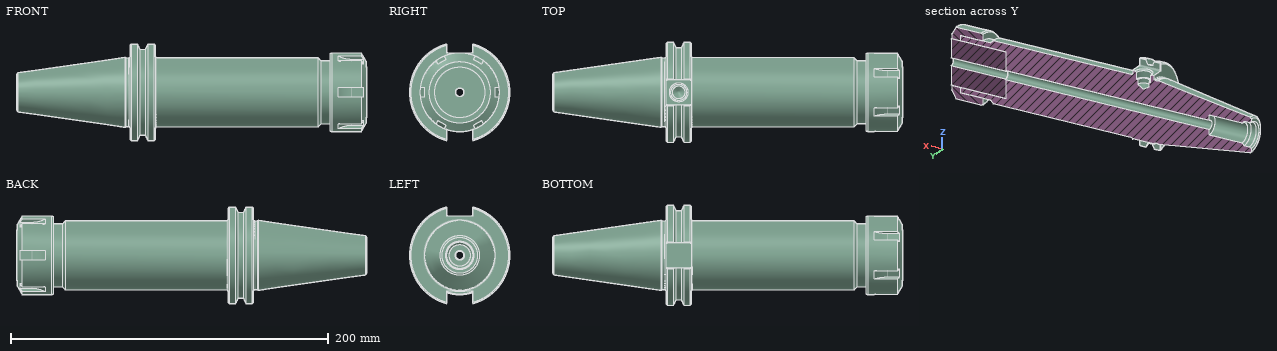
import cadquery as cq
import math


OVERALL_LENGTH = 220.8
TAPER_LENGTH = 68.5
HOLDER_REAR = -TAPER_LENGTH
COLLET_PROTRUSION = 0.33
COLLET_FRONT = HOLDER_REAR + OVERALL_LENGTH
NUT_FRONT = COLLET_FRONT - COLLET_PROTRUSION
FLANGE_REAR = 3.0
FLANGE_FRONT = 19.0
GROOVE_CENTER = 11.0
BODY_FRONT = 121.5
NUT_REAR = 129.0
NUT_SHOULDER = 148.8
NOSE_FRONT = 145.7

TAPER_SMALL_DIAMETER = 25.0
TAPER_REAR_DIAMETER = 22.5
TAPER_REAR_CHAMFER_LENGTH = 0.9
TAPER_LARGE_DIAMETER = 44.4
TAPER_EDGE_CHAMFER = 0.7
COLLAR_DIAMETER = 43.5
BODY_DIAMETER = 44.0
NOSE_DIAMETER = 40.0
FLANGE_DIAMETER = 63.4
FLANGE_CHAMFER = 0.9
GROOVE_FLOOR_DIAMETER = 56.5
GROOVE_FLOOR_WIDTH = 3.3
GROOVE_MOUTH_WIDTH = 6.6
FLANGE_ROOT_FILLET = 0.9

SLOT_WIDTH = 16.1
SLOT_EDGE_CHAMFER = 0.5
SLOT_FLOOR_FILLET = 0.55
UPPER_SLOT_FLOOR = 25.0
LOWER_SLOT_FLOOR = 22.5

POCKET_DIAMETER = 10.2
POCKET_MOUTH_DIAMETER = 12.0
POCKET_DEPTH = 5.5
POCKET_DRILL_DIAMETER = 8.0
POCKET_DRILL_DEPTH = 8.8
DRILL_POINT_ANGLE = 118.0

COOLANT_DIAMETER = 6.0
PULL_STUD_MOUTH_DIAMETER = 17.9
PULL_STUD_MOUTH_LENGTH = 1.5
PULL_STUD_COUNTERBORE_DIAMETER = 16.5
PULL_STUD_COUNTERBORE_DEPTH = 5.3
PULL_STUD_BORE_DIAMETER = 13.5
PULL_STUD_BORE_DEPTH = 31.0

NUT_DIAMETER = 50.0
NUT_REAR_DIAMETER = 48.8
NUT_REAR_CHAMFER_LENGTH = 1.3
NUT_FACE_DIAMETER = 38.6
COLLET_DIAMETER = 31.8
COLLET_LENGTH = 40.0
COLLET_BORE_DIAMETER = 5.0
SPANNER_SLOTS = 6
SPANNER_SLOT_WIDTH = 6.0
SPANNER_SLOT_FLOOR = 22.3
SPANNER_SLOT_REAR = 134.0
SPANNER_SLOT_STEP = 142.6


def revolved(points):
    """Solid of revolution about X from (x, diameter) points, closed along the axis."""
    outline = [(x, diameter / 2) for x, diameter in points]
    outline = [(outline[0][0], 0)] + outline + [(outline[-1][0], 0)]
    return cq.Workplane("XY").polyline(outline).close().revolve(360, (0, 0, 0), (1, 0, 0))


def axial_cylinder(diameter, start, end):
    return revolved([(start, diameter), (end, diameter)])


def holder_blank():
    floor_half = GROOVE_FLOOR_WIDTH / 2
    mouth_half = GROOVE_MOUTH_WIDTH / 2
    flange_edge_diameter = FLANGE_DIAMETER - 2 * FLANGE_CHAMFER
    nose_chamfer = (BODY_DIAMETER - NOSE_DIAMETER) / 2
    return revolved([
        (HOLDER_REAR, TAPER_REAR_DIAMETER),
        (HOLDER_REAR + TAPER_REAR_CHAMFER_LENGTH, TAPER_SMALL_DIAMETER),
        (0, TAPER_LARGE_DIAMETER),
        (TAPER_EDGE_CHAMFER, COLLAR_DIAMETER),
        (FLANGE_REAR, COLLAR_DIAMETER),
        (FLANGE_REAR, flange_edge_diameter),
        (FLANGE_REAR + FLANGE_CHAMFER, FLANGE_DIAMETER),
        (GROOVE_CENTER - mouth_half, FLANGE_DIAMETER),
        (GROOVE_CENTER - floor_half, GROOVE_FLOOR_DIAMETER),
        (GROOVE_CENTER + floor_half, GROOVE_FLOOR_DIAMETER),
        (GROOVE_CENTER + mouth_half, FLANGE_DIAMETER),
        (FLANGE_FRONT - FLANGE_CHAMFER, FLANGE_DIAMETER),
        (FLANGE_FRONT, flange_edge_diameter),
        (FLANGE_FRONT, BODY_DIAMETER),
        (BODY_FRONT, BODY_DIAMETER),
        (BODY_FRONT + nose_chamfer, NOSE_DIAMETER),
        (NOSE_FRONT, NOSE_DIAMETER),
    ])


def fillet_flange_root(blank, face_x):
    """Round the inner corner at a flange face; it is the smallest circle in that plane."""
    return (
        blank
        .faces(cq.selectors.NearestToPointSelector((face_x, 0, 0)))
        .edges(cq.selectors.RadiusNthSelector(0))
        .fillet(FLANGE_ROOT_FILLET)
    )


def drive_slot(floor_height):
    """Cutter for a slot across the top of the flange, with bevelled edges."""
    flange_radius = FLANGE_DIAMETER / 2
    width = FLANGE_FRONT - FLANGE_REAR
    half = SLOT_WIDTH / 2
    slot = (
        cq.Workplane("XY", origin=((FLANGE_REAR + FLANGE_FRONT) / 2, 0, floor_height))
        .rect(width, SLOT_WIDTH)
        .extrude(flange_radius)
        .edges("|X and <Z")
        .fillet(SLOT_FLOOR_FILLET)
    )

    bevel_outer_half = half + SLOT_EDGE_CHAMFER
    bevel_top = math.sqrt(flange_radius**2 - bevel_outer_half**2)
    bevel_bottom = bevel_top - SLOT_EDGE_CHAMFER
    rise = flange_radius - bevel_bottom
    mouth = (
        cq.Workplane("YZ", origin=(FLANGE_REAR, 0, 0))
        .polyline([
            (-half, bevel_bottom),
            (half, bevel_bottom),
            (half + rise, flange_radius),
            (-half - rise, flange_radius),
        ])
        .close()
        .extrude(width)
    )
    slot = slot.union(mouth)

    for face_x, inward in ((FLANGE_REAR, SLOT_EDGE_CHAMFER), (FLANGE_FRONT, -SLOT_EDGE_CHAMFER)):
        bevel = (
            cq.Workplane("XY", origin=(face_x, 0, floor_height))
            .polyline([
                (0, -bevel_outer_half),
                (0, bevel_outer_half),
                (inward, half),
                (inward, -half),
            ])
            .close()
            .extrude(flange_radius)
        )
        slot = slot.union(bevel)
    return slot


def slot_pocket():
    """Cutter for the chamfered, stepped pocket with a drill-point bottom."""
    mouth = UPPER_SLOT_FLOOR
    chamfer = (POCKET_MOUTH_DIAMETER - POCKET_DIAMETER) / 2
    point = POCKET_DRILL_DIAMETER / 2 / math.tan(math.radians(DRILL_POINT_ANGLE / 2))
    return (
        cq.Workplane("XZ", origin=(GROOVE_CENTER, 0, 0))
        .polyline([
            (0, mouth),
            (POCKET_MOUTH_DIAMETER / 2, mouth),
            (POCKET_DIAMETER / 2, mouth - chamfer),
            (POCKET_DIAMETER / 2, mouth - POCKET_DEPTH),
            (POCKET_DRILL_DIAMETER / 2, mouth - POCKET_DEPTH),
            (POCKET_DRILL_DIAMETER / 2, mouth - POCKET_DRILL_DEPTH),
            (0, mouth - POCKET_DRILL_DEPTH - point),
        ])
        .close()
        .revolve(360, (0, 0, 0), (0, 1, 0))
    )


def pull_stud_bore():
    step = (PULL_STUD_COUNTERBORE_DIAMETER - PULL_STUD_BORE_DIAMETER) / 2
    counterbore_end = HOLDER_REAR + PULL_STUD_COUNTERBORE_DEPTH
    return revolved([
        (HOLDER_REAR, PULL_STUD_MOUTH_DIAMETER),
        (HOLDER_REAR + PULL_STUD_MOUTH_LENGTH, PULL_STUD_COUNTERBORE_DIAMETER),
        (counterbore_end, PULL_STUD_COUNTERBORE_DIAMETER),
        (counterbore_end + step, PULL_STUD_BORE_DIAMETER),
        (HOLDER_REAR + PULL_STUD_BORE_DEPTH, PULL_STUD_BORE_DIAMETER),
    ])


def make_holder():
    blank = holder_blank()
    for face_x in (FLANGE_REAR, FLANGE_FRONT):
        blank = fillet_flange_root(blank, face_x)
    lower_slot = drive_slot(LOWER_SLOT_FLOOR).rotate((0, 0, 0), (1, 0, 0), 180)
    return (
        blank
        .cut(drive_slot(UPPER_SLOT_FLOOR))
        .cut(lower_slot)
        .cut(slot_pocket())
        .cut(pull_stud_bore())
        .cut(axial_cylinder(COOLANT_DIAMETER, HOLDER_REAR, NOSE_FRONT))
        .cut(axial_cylinder(COLLET_DIAMETER, COLLET_FRONT - COLLET_LENGTH, NOSE_FRONT))
    )


def spanner_slot():
    """Cutter for the slot on the -Y side: a flat floor with a round run-out at its rear."""
    surface = NUT_DIAMETER / 2
    run_out = SPANNER_SLOT_STEP - SPANNER_SLOT_REAR
    depth = surface - SPANNER_SLOT_FLOOR
    cutter_radius = (run_out**2 + depth**2) / (2 * depth)
    half_angle = math.asin(run_out / cutter_radius) / 2
    arc_middle = (
        SPANNER_SLOT_STEP - cutter_radius * math.sin(half_angle),
        -SPANNER_SLOT_FLOOR - cutter_radius * (1 - math.cos(half_angle)),
    )
    return (
        cq.Workplane("XY", origin=(0, 0, -SPANNER_SLOT_WIDTH / 2))
        .moveTo(SPANNER_SLOT_REAR, -surface)
        .threePointArc(arc_middle, (SPANNER_SLOT_STEP, -SPANNER_SLOT_FLOOR))
        .lineTo(NUT_FRONT, -SPANNER_SLOT_FLOOR)
        .lineTo(NUT_FRONT, -surface)
        .close()
        .extrude(SPANNER_SLOT_WIDTH)
    )


def make_nut():
    nut = revolved([
        (NUT_REAR, NUT_REAR_DIAMETER),
        (NUT_REAR + NUT_REAR_CHAMFER_LENGTH, NUT_DIAMETER),
        (NUT_SHOULDER, NUT_DIAMETER),
        (NUT_FRONT, NUT_FACE_DIAMETER),
    ])
    nut = nut.cut(axial_cylinder(NOSE_DIAMETER, NUT_REAR, NOSE_FRONT))
    nut = nut.cut(axial_cylinder(COLLET_DIAMETER, NOSE_FRONT, NUT_FRONT))
    for index in range(SPANNER_SLOTS):
        angle = index * 360 / SPANNER_SLOTS
        nut = nut.cut(spanner_slot().rotate((0, 0, 0), (1, 0, 0), angle))
    return nut


def make_collet():
    collet_rear = COLLET_FRONT - COLLET_LENGTH
    collet = axial_cylinder(COLLET_DIAMETER, collet_rear, COLLET_FRONT)
    return collet.cut(axial_cylinder(COLLET_BORE_DIAMETER, collet_rear, COLLET_FRONT))


holder = make_holder()
nut = make_nut()
collet = make_collet()

result = cq.Compound.makeCompound([holder.val(), nut.val(), collet.val()])